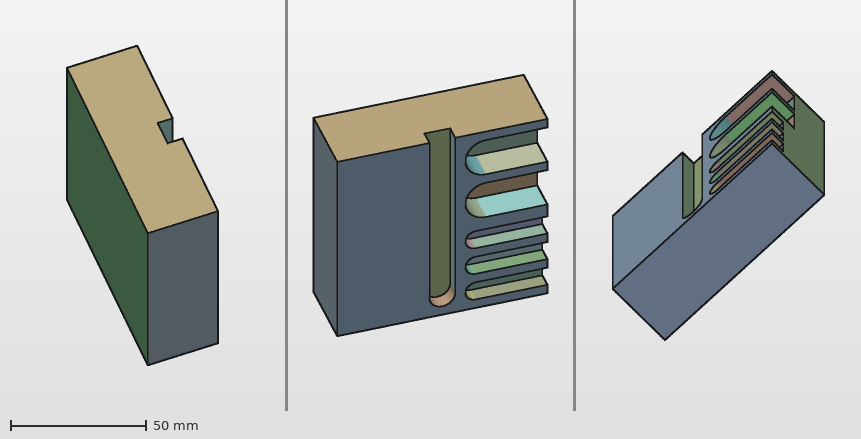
import cadquery as cq

side = 82.0
depth = 28.0
wall = 4.0

wide_groove = 4 * wall
narrow_groove = 2 * wall
wide_groove_depth = 12.0
narrow_groove_depth = 6.0
wide_groove_count = 2
narrow_groove_count = 3

notch_width = 10.0
notch_depth = narrow_groove_depth
notch_length = side - wall
groove_length = (side - notch_width) / 2 - wall


def round_end_cutter(length, width, cut_depth):
    """Groove along +X from the origin, with a half-round far end, cut down from the +Y face."""
    radius = width / 2
    return (
        cq.Workplane("XZ", origin=(0, depth / 2, 0))
        .moveTo(0, -radius)
        .lineTo(length - radius, -radius)
        .threePointArc((length, 0), (length - radius, radius))
        .lineTo(0, radius)
        .close()
        .extrude(cut_depth)
    )


result = cq.Workplane("XY").box(side, depth, side)

for i in range(wide_groove_count):
    z = side / 2 - wall - wide_groove / 2 - i * (wide_groove + wall)
    cutter = round_end_cutter(groove_length, wide_groove, wide_groove_depth)
    result = result.cut(cutter.translate((-side / 2, 0, z)))

for i in range(narrow_groove_count):
    z = -side / 2 + wall + narrow_groove / 2 + i * (narrow_groove + wall)
    cutter = round_end_cutter(groove_length, narrow_groove, narrow_groove_depth)
    result = result.cut(cutter.translate((-side / 2, 0, z)))

notch = round_end_cutter(notch_length, notch_width, notch_depth)
notch = notch.rotate((0, 0, 0), (0, 1, 0), 90)
result = result.cut(notch.translate((0, 0, side / 2)))